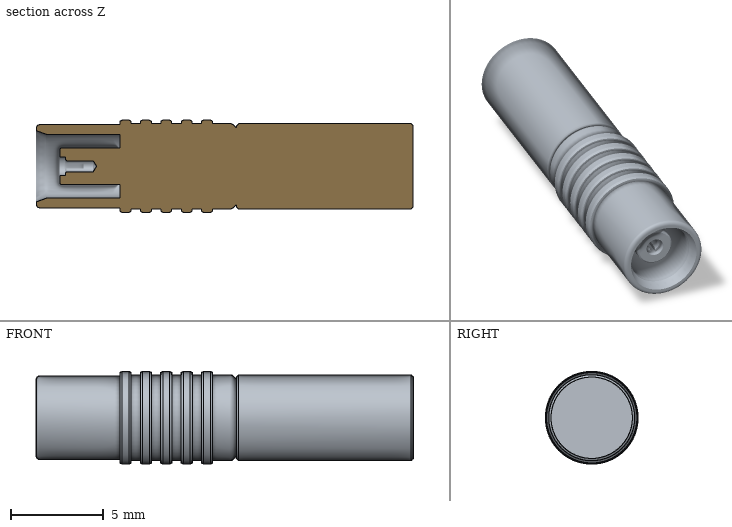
import cadquery as cq
import math

LENGTH = 20.3

NOSE_RADIUS = 2.25
NOSE_LENGTH = 4.5
NOSE_LIP_FILLET = 0.2

BODY_RADIUS = 2.31
RIB_RADIUS = 2.5
RIB_COUNT = 5
RIB_WIDTH = 0.6
RIB_PITCH = 1.1
RIB_CHAMFER_LENGTH = 0.12
RIB_CHAMFER_DROP = 0.06

SLEEVE_START = 10.78
SLEEVE_RADIUS = 2.31
SLEEVE_CHAMFER = 0.12
NECK_ANGLE = 45.0
NECK_ROUND_RADIUS = 0.25
NECK_RADIUS = 2.07

MOUTH_RADIUS = 1.9
MOUTH_TAPER_LENGTH = 0.55
SOCKET_RADIUS = 1.7
SOCKET_DEPTH = NOSE_LENGTH

INSULATOR_RADIUS = 1.0
INSULATOR_TIP = 1.25
INSULATOR_CHAMFER = 0.08

CONTACT_RADIUS = 0.49
CONTACT_RECESS = 0.3
CONTACT_BORE_RADIUS = 0.28
CONTACT_LEAD_IN = 0.08
CONTACT_BORE_DEPTH = 1.5
CONTACT_POINT_ANGLE = 118.0
CONTACT_SLOT_WIDTH = 0.28
CONTACT_SLOT_DEPTH = 1.0


def revolve(profile):
    """Close an (axial, radial) profile and turn it about the X axis."""
    return profile.close().revolve(360, (0, 0, 0), (1, 0, 0))


def cylinder(start, length, radius):
    return cq.Workplane("YZ").workplane(offset=start).circle(radius).extrude(length)


def make_nose():
    nose = cylinder(0, NOSE_LENGTH, NOSE_RADIUS)
    return nose.faces("<X").edges().fillet(NOSE_LIP_FILLET)


def make_body():
    """Plain body whose rear corner rolls over into a cone down to the neck."""
    angle = math.radians(NECK_ANGLE)
    round_drop = NECK_ROUND_RADIUS * (1 - math.cos(angle))
    cone_drop = BODY_RADIUS - round_drop - NECK_RADIUS
    cone_start = SLEEVE_START - cone_drop / math.tan(angle)
    round_start = cone_start - NECK_ROUND_RADIUS * math.sin(angle)
    round_middle = (
        round_start + NECK_ROUND_RADIUS * math.sin(angle / 2),
        BODY_RADIUS - NECK_ROUND_RADIUS * (1 - math.cos(angle / 2)),
    )
    profile = (
        cq.Workplane("XY")
        .moveTo(NOSE_LENGTH, 0)
        .lineTo(NOSE_LENGTH, BODY_RADIUS)
        .lineTo(round_start, BODY_RADIUS)
        .threePointArc(round_middle, (cone_start, BODY_RADIUS - round_drop))
        .lineTo(SLEEVE_START, NECK_RADIUS)
        .lineTo(SLEEVE_START, 0)
    )
    return revolve(profile)


def make_rib(start):
    end = start + RIB_WIDTH
    shoulder_radius = RIB_RADIUS - RIB_CHAMFER_DROP
    profile = (
        cq.Workplane("XY")
        .moveTo(start, 0)
        .lineTo(start, shoulder_radius)
        .lineTo(start + RIB_CHAMFER_LENGTH, RIB_RADIUS)
        .lineTo(end - RIB_CHAMFER_LENGTH, RIB_RADIUS)
        .lineTo(end, shoulder_radius)
        .lineTo(end, 0)
    )
    return revolve(profile)


def make_sleeve():
    sleeve = cylinder(SLEEVE_START, LENGTH - SLEEVE_START, SLEEVE_RADIUS)
    return sleeve.faces("<X or >X").edges().chamfer(SLEEVE_CHAMFER)


def make_socket():
    """Void behind the mating face: a tapered mouth leading to a straight bore."""
    profile = (
        cq.Workplane("XY")
        .lineTo(0, MOUTH_RADIUS)
        .lineTo(MOUTH_TAPER_LENGTH, SOCKET_RADIUS)
        .lineTo(SOCKET_DEPTH, SOCKET_RADIUS)
        .lineTo(SOCKET_DEPTH, 0)
    )
    return revolve(profile)


def make_insulator():
    insulator = cylinder(INSULATOR_TIP, SOCKET_DEPTH - INSULATOR_TIP, INSULATOR_RADIUS)
    return insulator.faces("<X").edges().chamfer(INSULATOR_CHAMFER)


def make_contact_void():
    """Insulator hole, contact lead-in, pointed contact bore and vertical slot."""
    contact_tip = INSULATOR_TIP + CONTACT_RECESS
    bore_end = contact_tip + CONTACT_BORE_DEPTH
    point_length = CONTACT_BORE_RADIUS / math.tan(math.radians(CONTACT_POINT_ANGLE / 2))
    profile = (
        cq.Workplane("XY")
        .moveTo(INSULATOR_TIP, 0)
        .lineTo(INSULATOR_TIP, CONTACT_RADIUS)
        .lineTo(contact_tip, CONTACT_RADIUS)
        .lineTo(contact_tip, CONTACT_BORE_RADIUS + CONTACT_LEAD_IN)
        .lineTo(contact_tip + CONTACT_LEAD_IN, CONTACT_BORE_RADIUS)
        .lineTo(bore_end, CONTACT_BORE_RADIUS)
        .lineTo(bore_end + point_length, 0)
    )
    slot_box = cq.Workplane("XY").box(
        CONTACT_SLOT_DEPTH, CONTACT_SLOT_WIDTH, 2 * CONTACT_RADIUS, centered=(False, True, True)
    ).translate((contact_tip, 0, 0))
    slot = slot_box.intersect(cylinder(contact_tip, CONTACT_SLOT_DEPTH, CONTACT_RADIUS))
    return revolve(profile).union(slot)


shell = make_nose().union(make_body()).union(make_sleeve())
for index in range(RIB_COUNT):
    shell = shell.union(make_rib(NOSE_LENGTH + index * RIB_PITCH))

result = shell.cut(make_socket()).union(make_insulator()).cut(make_contact_void())